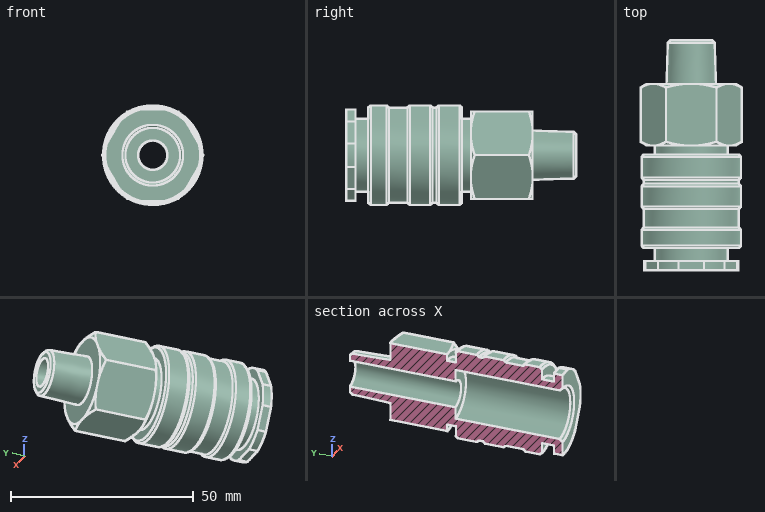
import cadquery as cq
import math

total_length = 63.0
flange_end = 2.6
sleeve_start = 6.05
sleeve_end = 31.7
hex_start = 34.15
hex_end = 51.0

flange_radius = 13.0
flange_across_flats = 25.0

neck_radius = 10.0
sleeve_diameter = 27.3
sleeve_radius = sleeve_diameter / 2
groove_radius = 13.05
band_chamfer_length = 0.7
wide_groove = (11.7, 16.75)
narrow_groove = (23.7, 24.7)

hex_across_corners = 27.7
hex_chamfer_angle = 30.0
hex_face_radius = 12.1

thread_base_radius = 6.8
thread_taper_per_side = 1 / 32
tip_chamfer = 0.75

socket_radius = 7.5
socket_depth = sleeve_end
mouth_chamfer = 0.8
passage_radius = 4.0


def revolve_profile(points):
    """Revolve (radius, y) points, closed along the axis, about the Y axis."""
    closed = [(0, points[0][1])] + points + [(0, points[-1][1])]
    return cq.Workplane("XY").polyline(closed).close().revolve(360, (0, 0, 0), (0, 1, 0))


def cylinder(radius, start, end):
    return revolve_profile([(radius, start), (radius, end)])


def hexagon(across_corners, start, end):
    """Hexagonal prism along Y with two corners on the X axis."""
    plane = cq.Workplane("XZ", origin=(0, start, 0))
    return plane.polygon(6, across_corners).extrude(start - end)


def make_flange():
    across_corners = flange_across_flats / math.cos(math.radians(30))
    disc = cylinder(flange_radius, 0, flange_end)
    return disc.intersect(hexagon(across_corners, 0, flange_end))


def make_sleeve():
    bands = [
        (sleeve_start, wide_groove[0]),
        (wide_groove[1], narrow_groove[0]),
        (narrow_groove[1], sleeve_end),
    ]
    points = []
    for start, end in bands:
        points += [
            (groove_radius, start),
            (sleeve_radius, start + band_chamfer_length),
            (sleeve_radius, end - band_chamfer_length),
            (groove_radius, end),
        ]
    return revolve_profile(points)


def make_hex_body():
    corner_radius = hex_across_corners / 2
    chamfer_length = (corner_radius - hex_face_radius) * math.tan(math.radians(hex_chamfer_angle))
    envelope = revolve_profile([
        (hex_face_radius, hex_start),
        (corner_radius, hex_start + chamfer_length),
        (corner_radius, hex_end - chamfer_length),
        (hex_face_radius, hex_end),
    ])
    return hexagon(hex_across_corners, hex_start, hex_end).intersect(envelope)


def make_thread():
    chamfer_start = total_length - tip_chamfer
    small_radius = thread_base_radius - (chamfer_start - hex_end) * thread_taper_per_side
    return revolve_profile([
        (thread_base_radius, hex_end),
        (small_radius, chamfer_start),
        (small_radius - tip_chamfer, total_length),
    ])


def make_bore():
    return revolve_profile([
        (socket_radius + mouth_chamfer, 0),
        (socket_radius, mouth_chamfer),
        (socket_radius, socket_depth),
        (passage_radius, socket_depth),
        (passage_radius, total_length),
    ])


neck = cylinder(neck_radius, 0, hex_start)
body = make_hex_body().union(neck).union(make_thread())
body = body.union(make_flange()).union(make_sleeve())
result = body.cut(make_bore())